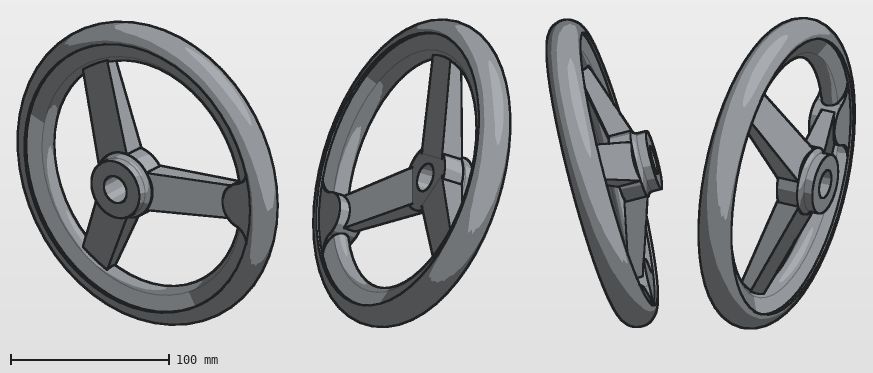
import cadquery as cq
import math

rim_outer_radius = 100.0
tube_radius = 11.0
tube_centre_radius = rim_outer_radius - tube_radius
lip_depth = 2.0
web_half_width = tube_radius - lip_depth
inner_edge_radius = 6.0
rim_inner_radius = 75.0
inner_edge_centre = rim_inner_radius + inner_edge_radius

total_depth = 45.0
hub_front = tube_radius - total_depth
hub_back = -10.5
shoulder_front = -24.5
hub_radius = 21.5
collar_radius = 19.0
collar_fillet = 3.5
bore_radius = 9.0

spoke_count = 3
spoke_start = 14.0
spoke_end = 79.0
spoke_half_width_start = 12.8
spoke_half_width_end = 11.0
spoke_front_start = -26.2
spoke_front_end = -3.5
spoke_back_start = -10.5
spoke_back_end = 4.5

boss_centre = 80.8
boss_radius = 15.0
boss_blend_radius = 11.0
boss_half_width = web_half_width
boss_blend_height = 25.0


def revolve_about_y(profile):
    return profile.close().revolve(360, (0, 0, 0), (0, 1, 0))


def make_rim():
    run = tube_centre_radius - inner_edge_centre
    span = math.hypot(run, web_half_width)
    tangent_angle = math.atan2(web_half_width, run) + math.acos(inner_edge_radius / span)
    tangent_r = inner_edge_centre + inner_edge_radius * math.cos(tangent_angle)
    tangent_y = inner_edge_radius * math.sin(tangent_angle)
    profile = (
        cq.Workplane("XY")
        .moveTo(tube_centre_radius, -tube_radius)
        .threePointArc((rim_outer_radius, 0), (tube_centre_radius, tube_radius))
        .lineTo(tube_centre_radius, web_half_width)
        .lineTo(tangent_r, tangent_y)
        .threePointArc((rim_inner_radius, 0), (tangent_r, -tangent_y))
        .lineTo(tube_centre_radius, -web_half_width)
    )
    return revolve_about_y(profile)


def make_hub():
    fillet_centre_r = collar_radius + collar_fillet
    end_angle = math.acos((fillet_centre_r - hub_radius) / collar_fillet)
    fillet_start_y = shoulder_front - collar_fillet * math.sin(end_angle)
    mid_r = fillet_centre_r - collar_fillet * math.cos(end_angle / 2)
    mid_y = fillet_start_y + collar_fillet * math.sin(end_angle / 2)
    profile = (
        cq.Workplane("XY")
        .moveTo(0, hub_front)
        .lineTo(collar_radius, hub_front)
        .lineTo(collar_radius, fillet_start_y)
        .threePointArc((mid_r, mid_y), (hub_radius, shoulder_front))
        .lineTo(hub_radius, hub_back)
        .lineTo(0, hub_back)
    )
    return revolve_about_y(profile)


def make_spoke():
    side = (
        cq.Workplane("XY")
        .polyline([
            (spoke_start, spoke_front_start),
            (spoke_end, spoke_front_end),
            (spoke_end, spoke_back_end),
            (spoke_start, spoke_back_start),
        ])
        .close()
        .extrude(spoke_half_width_start, both=True)
    )
    width = (
        cq.Workplane("XZ")
        .polyline([
            (spoke_start, -spoke_half_width_start),
            (spoke_end, -spoke_half_width_end),
            (spoke_end, spoke_half_width_end),
            (spoke_start, spoke_half_width_start),
        ])
        .close()
        .extrude(total_depth, both=True)
    )
    clearance = (
        cq.Workplane("XZ", origin=(0, shoulder_front, 0))
        .circle(rim_outer_radius)
        .extrude(total_depth)
    )
    return side.intersect(width).cut(clearance)


def make_boss():
    centre_distance = boss_radius + boss_blend_radius
    blend_centre_x = boss_centre - math.sqrt(centre_distance**2 - boss_blend_height**2)
    tangent_share = boss_radius / centre_distance
    tangent_x = boss_centre + tangent_share * (blend_centre_x - boss_centre)
    tangent_z = tangent_share * boss_blend_height
    blend_mid_angle = math.atan2(tangent_z - boss_blend_height, tangent_x - blend_centre_x) / 2
    blend_mid_x = blend_centre_x + boss_blend_radius * math.cos(blend_mid_angle)
    blend_mid_z = boss_blend_height + boss_blend_radius * math.sin(blend_mid_angle)
    blend_end_x = blend_centre_x + boss_blend_radius
    lip_z = math.sqrt(tube_centre_radius**2 - blend_end_x**2)
    return (
        cq.Workplane("XZ")
        .moveTo(blend_end_x, lip_z)
        .lineTo(blend_end_x, boss_blend_height)
        .threePointArc((blend_mid_x, blend_mid_z), (tangent_x, tangent_z))
        .threePointArc((boss_centre - boss_radius, 0), (tangent_x, -tangent_z))
        .threePointArc((blend_mid_x, -blend_mid_z), (blend_end_x, -boss_blend_height))
        .lineTo(blend_end_x, -lip_z)
        .threePointArc((tube_centre_radius, 0), (blend_end_x, lip_z))
        .close()
        .extrude(boss_half_width, both=True)
    )


result = make_rim().union(make_hub()).union(make_boss())
for index in range(spoke_count):
    spoke_angle = index * 360 / spoke_count
    result = result.union(make_spoke().rotate((0, 0, 0), (0, 1, 0), spoke_angle))

bore = cq.Workplane("XZ").circle(bore_radius).extrude(total_depth, both=True)
result = result.cut(bore)